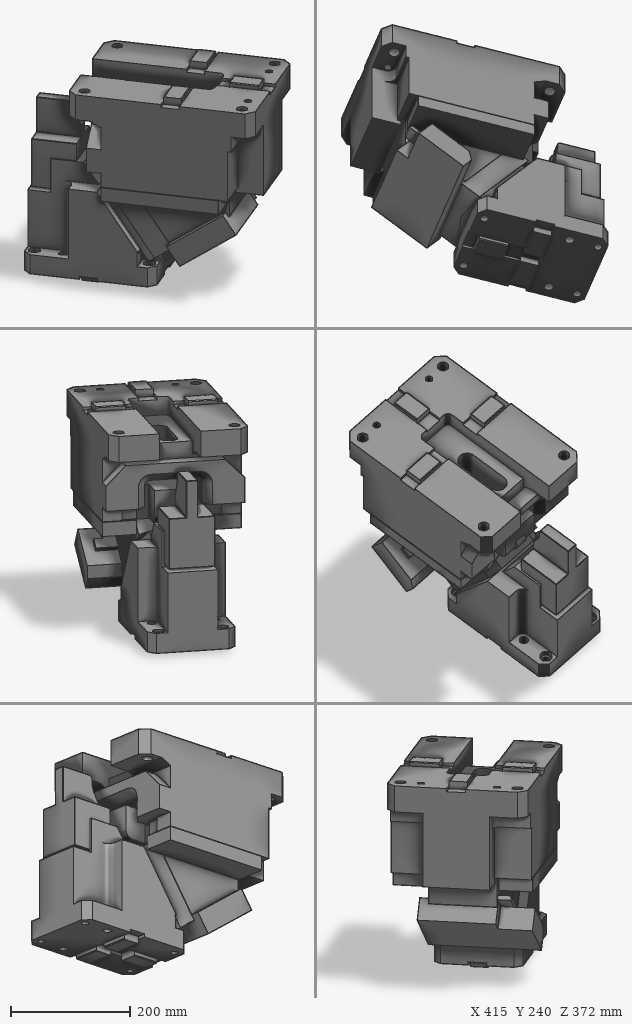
import cadquery as cq
import math


LENGTH = 415.0
HOLDER_HALF_WIDTH = 120.0
HOLDER_TOP = 356.0
SLOPE = math.radians(55)
EDGE_BREAK = 1.0

KEY_WIDTH = 32.0
KEY_LENGTH = 50.5
KEY_DEPTH = 5.5
KEY_RISE = 8.0
KEY_BEVEL = 1.5

BASE_LENGTH = 230.7
BASE_HALF_WIDTH = 75.5
BASE_FLANGE_HEIGHT = 35.0
BASE_CORNER = 13.0
BASE_TOP = 162.5
BASE_TOP_END = 129.5
BODY_START = 80.0
BODY_FILLET = 14.5
RIB_HALF_WIDTH = 43.0
RIB_STEP_HEIGHT = 138.5
RIB_NOTCH_X = 40.0
RIB_TOP = 200.0
RIB_TOP_END = 98.0
WEAR_PLATE_THICKNESS = 12.5
WEAR_PLATE_CORNER = 20.0
RIDGE_ANGLE = math.radians(15)
BASE_HOLE_Y = 55.0
BASE_HOLE_INSET = 15.0
BASE_HOLE_DIAMETER = 13.0
BASE_COUNTERBORE_DIAMETER = 20.5
BASE_COUNTERBORE_DEPTH = 10.5
DOWEL_X = 65.0
DOWEL_DIAMETER = 15.0
BOLT_POCKET_X = 200.0
BOLT_POCKET_TOP = 59.5
BASE_CROSS_KEY_X = 114.5
BASE_CROSS_KEY_START = 9.5
BASE_LONG_KEY_X = 186.0

BLOCK_START = 5.5
BLOCK_END = 84.2
BLOCK_BOTTOM = 143.5
BLOCK_SHOULDER = 231.0
BLOCK_TOP = 295.0
BLOCK_HALF_WIDTH = 40.0
TONGUE_HALF_WIDTH = 10.0
TONGUE_ROUND = 6.5
TONGUE_NECK_X = 72.0
TONGUE_NECK_BOTTOM = 283.0
TONGUE_FLARE_X = 76.8
TONGUE_FLARE_HEIGHT = 265.0
TONGUE_ROOT_HEIGHT = 252.0

HOLDER_START = 90.5
HOLDER_FLANGE_BOTTOM = 311.0
HOLDER_CORNER = 14.5
HAUNCH_START = 129.5
HAUNCH_BOTTOM = 301.3
CHEEK_START = 149.5
CHEEK_END = 370.5
CHEEK_BOTTOM = 192.5
UPPER_CHEEK_END = 376.5
UPPER_CHEEK_BOTTOM = 283.5
UPPER_CHEEK_FILLET = 15.0
BACK_BLOCK_START = 364.5
BACK_BLOCK_BOTTOM = 183.0
BACK_BLOCK_HALF_WIDTH = 57.0
FACE_PLATE_START = 124.0
FACE_PLATE_TOP = 295.0
FACE_PLATE_BOTTOM = 218.0
FACE_PLATE_CORNER = 34.0
CORNER_RELIEF_OUTER_Y = 86.0
CORNER_RELIEF_DEPTH = 6.2
CORNER_RELIEF_FILLET = 6.0
STRIP_BOTTOM = 167.2
STRIP_END = 355.0
STRIP_INNER_Y = 60.5
POCKET_HALF_WIDTH = 35.5
POCKET_FLOOR = 323.5
POCKET_END = 321.2
POCKET_CORNER = 10.5
SLOT_START = 159.5
SLOT_LENGTH = 100.5
SLOT_WIDTH = 31.0
TUNNEL_HALF_WIDTH = 49.5
TUNNEL_TOP = 262.5
TUNNEL_CORNER = 8.7
TUNNEL_LIP = 14.5
HOLDER_HOLE_INSET = 25.0
HOLDER_HOLE_Y = 100.0
HOLDER_HOLE_DIAMETER = 18.3
HOLDER_DOWEL_Y = 65.0
HOLDER_DOWEL_DIAMETER = 12.0
HOLDER_CROSS_KEY_X = 270.0
HOLDER_CROSS_KEY_START = 54.5
HOLDER_LONG_KEY_X = 369.8

SLIDE_HALF_WIDTH = 59.5
SLIDE_TOP = 248.5
SLIDE_FRONT = 167.0
SLIDE_END = 356.5
SHOE_THICKNESS = 38.0
SHOE_LENGTH = 150.2
SHOE_STEP = 1.0
NOSE_BOTTOM = 190.5
NOSE_FILLET = 14.0
ROLLER_RADIUS = 17.0
ROLLER_X = 137.8
ROLLER_Z = 205.0
ROLLER_HALF_WIDTH = 10.8
STOP_LENGTH = 119.5
STOP_THICKNESS = 40.3
STOP_OVERLAP = 10.5
STOP_FRONT_Y = -75.0
STOP_BACK_Y = 118.3
EAR_LENGTH = 96.0
EAR_CORNER = 15.5
BRACKET_RISE = 8.0
BRACKET_OUTER_Y = 82.0
BRACKET_FOOT_Y = 98.0
BRACKET_START = 46.0
BRACKET_FOOT_LENGTH = 20.5
BRACKET_LENGTH = 84.0


def box(x0, x1, y0, y1, z0, z1):
    """Box between two limits along each axis."""
    return cq.Workplane("XY").box(x1 - x0, y1 - y0, z1 - z0, centered=False).translate((x0, y0, z0))


def prism(points, y0, y1):
    """X-Z outline carried from y0 to y1."""
    return cq.Workplane("XZ", origin=(0, y1, 0)).polyline(points).close().extrude(y1 - y0)


def drill(x, y, z0, z1, diameter):
    """Vertical cylinder used to cut a hole."""
    return cq.Workplane("XY", origin=(x, y, z0)).circle(diameter / 2).extrude(z1 - z0)


def along(point, down, across):
    """Point moved down the cam slope and across it, away from the base."""
    return (
        point[0] + down * math.cos(SLOPE) + across * math.sin(SLOPE),
        point[1] - down * math.sin(SLOPE) + across * math.cos(SLOPE),
    )


CASTING_SLOPE_TOP = (BASE_TOP_END, BASE_TOP)
PLATE_SLOPE_TOP = along(CASTING_SLOPE_TOP, 0, WEAR_PLATE_THICKNESS)


def key_at(x, y, length_x, length_y, seat, up):
    """Locating key sunk into a face at height `seat`; `up` is 1 above the face and -1 below it."""
    height = KEY_DEPTH + KEY_RISE
    middle = seat + up * (KEY_RISE - KEY_DEPTH) / 2
    outer_face = ">Z" if up > 0 else "<Z"
    long_edges = "|X" if length_x > length_y else "|Y"
    key = cq.Workplane("XY").box(length_x, length_y, height)
    return key.faces(outer_face).edges(long_edges).chamfer(KEY_BEVEL).translate((x, y, middle))


def add_keys(body, seat, up, cross_x, cross_start, long_x, half_width, end_x):
    """Cut the crossed key slots in a mounting face and add its three keys."""
    inner = seat - up * KEY_DEPTH
    low, high = min(seat, inner), max(seat, inner)
    half = KEY_WIDTH / 2
    body = body.cut(box(cross_x - half, cross_x + half, -half_width, half_width, low, high))
    body = body.cut(box(cross_x + half, end_x, -half, half, low, high))
    for side in (-1, 1):
        y = side * (cross_start + KEY_LENGTH / 2)
        body = body.union(key_at(cross_x, y, KEY_WIDTH, KEY_LENGTH, seat, up))
    return body.union(key_at(long_x, 0, KEY_LENGTH, KEY_WIDTH, seat, up))


def make_tongued_block():
    """Block seated in the rib's notch, with a narrow shaped tongue on top."""
    body = box(BLOCK_START, BLOCK_END, -BLOCK_HALF_WIDTH, BLOCK_HALF_WIDTH, BLOCK_BOTTOM, BLOCK_SHOULDER)
    tongue = (
        cq.Workplane("XZ", origin=(0, TONGUE_HALF_WIDTH, 0))
        .moveTo(BLOCK_START, BLOCK_SHOULDER)
        .lineTo(BLOCK_START, BLOCK_TOP)
        .lineTo(TONGUE_NECK_X - TONGUE_ROUND, BLOCK_TOP)
        .tangentArcPoint((TONGUE_NECK_X, BLOCK_TOP - TONGUE_ROUND), relative=False)
        .lineTo(TONGUE_NECK_X, TONGUE_NECK_BOTTOM)
        .tangentArcPoint((TONGUE_FLARE_X, TONGUE_FLARE_HEIGHT), relative=False)
        .lineTo(BLOCK_END, TONGUE_ROOT_HEIGHT)
        .lineTo(BLOCK_END, BLOCK_SHOULDER)
        .close()
        .extrude(2 * TONGUE_HALF_WIDTH)
    )
    return body.union(tongue).edges("<X or |X").chamfer(EDGE_BREAK)


def make_ridge():
    """Roof-shaped bar along the cam slope, on which the slide's grooved shoe runs."""
    start = cq.Plane(
        origin=(CASTING_SLOPE_TOP[0], 0, CASTING_SLOPE_TOP[1]),
        xDir=(0, 1, 0),
        normal=(math.cos(SLOPE), 0, -math.sin(SLOPE)),
    )
    crest = WEAR_PLATE_THICKNESS + SLIDE_HALF_WIDTH * math.tan(RIDGE_ANGLE)
    return (
        cq.Workplane(start)
        .polyline(
            [
                (-SLIDE_HALF_WIDTH, 0),
                (-SLIDE_HALF_WIDTH, WEAR_PLATE_THICKNESS),
                (0, crest),
                (SLIDE_HALF_WIDTH, WEAR_PLATE_THICKNESS),
                (SLIDE_HALF_WIDTH, 0),
            ]
        )
        .close()
        .extrude(SHOE_LENGTH)
    )


def make_base():
    """Flanged base with a sloped, plated cam face, a central rib and the tongued block."""
    flange = box(0, BASE_LENGTH, -BASE_HALF_WIDTH, BASE_HALF_WIDTH, 0, BASE_FLANGE_HEIGHT)
    flange = flange.edges("|Z").chamfer(BASE_CORNER)

    slope_run = (BASE_TOP - BASE_FLANGE_HEIGHT) / math.sin(SLOPE)
    casting_foot = along(CASTING_SLOPE_TOP, slope_run, 0)
    body = prism(
        [
            (BODY_START, BASE_FLANGE_HEIGHT),
            (BODY_START, BASE_TOP),
            CASTING_SLOPE_TOP,
            casting_foot,
        ],
        -BASE_HALF_WIDTH,
        BASE_HALF_WIDTH,
    )
    apron_run = (BASE_LENGTH - PLATE_SLOPE_TOP[0]) / math.cos(SLOPE)
    apron = prism(
        [
            along(CASTING_SLOPE_TOP, SHOE_LENGTH, 0),
            along(PLATE_SLOPE_TOP, SHOE_LENGTH, 0),
            along(PLATE_SLOPE_TOP, apron_run, 0),
            (BASE_LENGTH, BASE_FLANGE_HEIGHT),
            casting_foot,
        ],
        -RIB_HALF_WIDTH,
        RIB_HALF_WIDTH,
    )
    rib_slope_end = RIB_TOP_END + (RIB_TOP - BASE_TOP) / math.tan(SLOPE)
    rib = prism(
        [
            (0, BASE_FLANGE_HEIGHT),
            (0, RIB_STEP_HEIGHT),
            (RIB_NOTCH_X, RIB_STEP_HEIGHT),
            (RIB_NOTCH_X, RIB_TOP),
            (RIB_TOP_END, RIB_TOP),
            (rib_slope_end, BASE_TOP),
            (rib_slope_end, BASE_FLANGE_HEIGHT),
        ],
        -RIB_HALF_WIDTH,
        RIB_HALF_WIDTH,
    )
    for side in (-1, 1):
        inner = side * RIB_HALF_WIDTH
        outer = inner + side * BODY_FILLET
        diagonal = BODY_FILLET * (1 - math.sqrt(0.5))
        corner = (
            cq.Workplane("XY", origin=(0, 0, BASE_FLANGE_HEIGHT))
            .moveTo(BODY_START, inner)
            .lineTo(BODY_START - BODY_FILLET, inner)
            .threePointArc((BODY_START - diagonal, inner + side * diagonal), (BODY_START, outer))
            .close()
            .extrude(BASE_TOP - BASE_FLANGE_HEIGHT)
        )
        body = body.union(corner)

    for side in (-1, 1):
        y_limits = sorted((side * RIB_HALF_WIDTH, side * BASE_HALF_WIDTH))
        body = body.cut(box(BOLT_POCKET_X, BASE_LENGTH, *y_limits, BASE_FLANGE_HEIGHT, BOLT_POCKET_TOP))

    across = cq.Vector(math.sin(SLOPE), 0, math.cos(SLOPE))
    plate = make_ridge()
    upper_end_corners = plate.faces("<X").edges(cq.selectors.ParallelDirSelector(across))
    plate = upper_end_corners.chamfer(WEAR_PLATE_CORNER)
    base = body.union(rib).union(apron).union(plate).union(flange)

    for side in (-1, 1):
        y = side * BASE_HOLE_Y
        for x in (BASE_HOLE_INSET, BASE_LENGTH - BASE_HOLE_INSET):
            base = base.cut(drill(x, y, 0, BASE_FLANGE_HEIGHT, BASE_HOLE_DIAMETER))
            seat = BASE_FLANGE_HEIGHT - BASE_COUNTERBORE_DEPTH
            base = base.cut(drill(x, y, seat, BASE_FLANGE_HEIGHT, BASE_COUNTERBORE_DIAMETER))
        base = base.cut(drill(DOWEL_X, y, 0, BASE_FLANGE_HEIGHT, DOWEL_DIAMETER))

    base = add_keys(
        base, 0, -1, BASE_CROSS_KEY_X, BASE_CROSS_KEY_START, BASE_LONG_KEY_X, BASE_HALF_WIDTH, BASE_LENGTH
    )
    return base.union(make_tongued_block())


def make_tunnel():
    """Round-cornered tunnel for the slide, flared at its mouth and wider below the face plate."""
    bottom = CHEEK_BOTTOM - 2 * TUNNEL_LIP
    height = TUNNEL_TOP - bottom
    throat = cq.Workplane("YZ", origin=(FACE_PLATE_START + TUNNEL_LIP, 0, bottom + height / 2))
    outline = cq.Sketch().rect(2 * TUNNEL_HALF_WIDTH, height).vertices().fillet(TUNNEL_CORNER)
    section = throat.placeSketch(outline)
    tunnel = section.extrude(BACK_BLOCK_START - FACE_PLATE_START - TUNNEL_LIP)
    flare = section.extrude(-TUNNEL_LIP, taper=-45)
    lower = box(
        CHEEK_START, BACK_BLOCK_START, -SLIDE_HALF_WIDTH, SLIDE_HALF_WIDTH, CHEEK_BOTTOM, FACE_PLATE_BOTTOM
    )
    return tunnel.union(flare).union(lower)


def make_holder():
    """Flanged slide holder: cheeks, face plate, back block, retaining strips and top keys."""
    half = HOLDER_HALF_WIDTH
    flange = box(HOLDER_START, LENGTH, -half, half, HOLDER_FLANGE_BOTTOM, HOLDER_TOP)
    flange = flange.edges("|Z").chamfer(HOLDER_CORNER)
    cheeks = prism(
        [
            (HAUNCH_START, HOLDER_FLANGE_BOTTOM),
            (CHEEK_START, HAUNCH_BOTTOM),
            (CHEEK_START, CHEEK_BOTTOM),
            (CHEEK_END, CHEEK_BOTTOM),
            (CHEEK_END, HOLDER_FLANGE_BOTTOM),
        ],
        -half,
        half,
    )
    core = BACK_BLOCK_HALF_WIDTH
    back_block = box(BACK_BLOCK_START, LENGTH, -core, core, BACK_BLOCK_BOTTOM, HOLDER_FLANGE_BOTTOM)
    upper_cheeks = box(
        CHEEK_START, UPPER_CHEEK_END, -half, half, UPPER_CHEEK_BOTTOM, HOLDER_FLANGE_BOTTOM
    )
    upper_cheeks = upper_cheeks.union(
        box(UPPER_CHEEK_END, LENGTH, -core, core, UPPER_CHEEK_BOTTOM, HOLDER_FLANGE_BOTTOM)
    )
    around_corners = cq.selectors.BoxSelector(
        (CHEEK_END, -SLIDE_HALF_WIDTH, UPPER_CHEEK_BOTTOM),
        (LENGTH - UPPER_CHEEK_FILLET, SLIDE_HALF_WIDTH, HOLDER_FLANGE_BOTTOM),
    )
    upper_cheeks = upper_cheeks.edges("|Z").edges(around_corners).fillet(UPPER_CHEEK_FILLET)
    face_plate = box(FACE_PLATE_START, CHEEK_START, -half, half, FACE_PLATE_BOTTOM, FACE_PLATE_TOP)
    face_plate = face_plate.edges("|X and >Z").chamfer(FACE_PLATE_CORNER)
    holder = cheeks.union(upper_cheeks).union(back_block).union(flange).union(face_plate)
    holder = holder.cut(make_tunnel())
    relief = box(
        CHEEK_START,
        CHEEK_START + CORNER_RELIEF_DEPTH,
        -CORNER_RELIEF_OUTER_Y,
        CORNER_RELIEF_OUTER_Y,
        CHEEK_BOTTOM,
        FACE_PLATE_BOTTOM,
    )
    holder = holder.cut(relief.edges("|Z and >X").fillet(CORNER_RELIEF_FILLET))

    pocket = box(CHEEK_START, POCKET_END, -POCKET_HALF_WIDTH, POCKET_HALF_WIDTH, POCKET_FLOOR, HOLDER_TOP)
    pocket = pocket.edges("|Z and >X").fillet(POCKET_CORNER)
    mouth = box(
        HOLDER_START, CHEEK_START, -POCKET_HALF_WIDTH, POCKET_HALF_WIDTH, FACE_PLATE_TOP, HOLDER_TOP
    )
    slot = (
        cq.Workplane("XY", origin=(SLOT_START + SLOT_LENGTH / 2, 0, TUNNEL_TOP))
        .slot2D(SLOT_LENGTH, SLOT_WIDTH)
        .extrude(POCKET_FLOOR - TUNNEL_TOP)
    )
    holder = holder.cut(pocket).cut(mouth).cut(slot)

    rear_x = LENGTH - HOLDER_HOLE_INSET
    for side in (-1, 1):
        for x in (HOLDER_START + HOLDER_HOLE_INSET, rear_x):
            holder = holder.cut(
                drill(x, side * HOLDER_HOLE_Y, UPPER_CHEEK_BOTTOM, HOLDER_TOP, HOLDER_HOLE_DIAMETER)
            )
        holder = holder.cut(
            drill(rear_x, side * HOLDER_DOWEL_Y, UPPER_CHEEK_BOTTOM, HOLDER_TOP, HOLDER_DOWEL_DIAMETER)
        )
        y_limits = sorted((side * STRIP_INNER_Y, side * half))
        strip = box(CHEEK_START, STRIP_END, *y_limits, STRIP_BOTTOM, CHEEK_BOTTOM)
        holder = holder.union(strip.edges(">Z or (|Z and >X)").chamfer(EDGE_BREAK))

    return add_keys(
        holder, HOLDER_TOP, 1, HOLDER_CROSS_KEY_X, HOLDER_CROSS_KEY_START, HOLDER_LONG_KEY_X, half, LENGTH
    )


def make_stop():
    """Stop plate on the slide's lower end, with a cut-back ear and a raised L-shaped bracket."""
    corner = along(PLATE_SLOPE_TOP, SHOE_LENGTH - STOP_OVERLAP, SHOE_THICKNESS)

    def outline(start, length, thickness):
        return [
            start,
            along(start, 0, length),
            along(start, thickness, length),
            along(start, thickness, 0),
        ]

    stop = prism(outline(corner, STOP_LENGTH, STOP_THICKNESS), STOP_FRONT_Y, SLIDE_HALF_WIDTH)
    ear = prism(outline(corner, EAR_LENGTH, STOP_THICKNESS), SLIDE_HALF_WIDTH, STOP_BACK_Y)
    ear = ear.edges("|Y and <X").chamfer(EAR_CORNER)
    bracket_start = along(corner, -BRACKET_RISE, BRACKET_START)
    upright = prism(
        outline(bracket_start, BRACKET_LENGTH, BRACKET_RISE), SLIDE_HALF_WIDTH, BRACKET_OUTER_Y
    )
    foot = prism(
        outline(bracket_start, BRACKET_FOOT_LENGTH, BRACKET_RISE), SLIDE_HALF_WIDTH, BRACKET_FOOT_Y
    )
    return stop.union(ear).union(upright).union(foot)


def make_slide():
    """Slide with a cam shoe on the wear plate, a nose with a roller, and a stop plate."""
    shoe_bottom = along(PLATE_SLOPE_TOP, SHOE_LENGTH, 0)
    shoe_heel = along(PLATE_SLOPE_TOP, SHOE_LENGTH, SHOE_THICKNESS)
    shoe_top = along(PLATE_SLOPE_TOP, 0, SHOE_THICKNESS)
    front_foot = (
        SLIDE_FRONT,
        PLATE_SLOPE_TOP[1] + (SLIDE_FRONT - PLATE_SLOPE_TOP[0]) / math.tan(SLOPE),
    )
    end_foot = (SLIDE_END, shoe_heel[1] + (SLIDE_END - shoe_heel[0]) / math.tan(SLOPE))
    outline = [
        (SLIDE_FRONT, SLIDE_TOP),
        front_foot,
        PLATE_SLOPE_TOP,
        shoe_bottom,
        end_foot,
        (SLIDE_END, SLIDE_TOP),
    ]
    core = prism(outline, -TUNNEL_HALF_WIDTH, TUNNEL_HALF_WIDTH)
    side_half_width = SLIDE_HALF_WIDTH - SHOE_STEP
    wide = prism(outline, -side_half_width, side_half_width)
    wide = wide.cut(box(SLIDE_FRONT, SLIDE_END, -LENGTH, LENGTH, FACE_PLATE_BOTTOM, SLIDE_TOP))
    shoe = prism(
        [PLATE_SLOPE_TOP, shoe_bottom, shoe_heel, shoe_top], -SLIDE_HALF_WIDTH, SLIDE_HALF_WIDTH
    )
    nose = box(
        FACE_PLATE_START, SLIDE_FRONT, -POCKET_HALF_WIDTH, POCKET_HALF_WIDTH, NOSE_BOTTOM, SLIDE_TOP
    )
    nose = nose.edges("|Y and <X and <Z").fillet(NOSE_FILLET)
    roller = (
        cq.Workplane("XZ", origin=(ROLLER_X, ROLLER_HALF_WIDTH, ROLLER_Z))
        .circle(ROLLER_RADIUS)
        .extrude(2 * ROLLER_HALF_WIDTH)
    )
    body = core.union(wide).union(shoe).cut(make_ridge())
    return body.union(nose).union(roller).union(make_stop())


base = make_base()
holder = make_holder()
slide = make_slide()

result = cq.Compound.makeCompound([base.solids().val(), holder.solids().val(), slide.solids().val()])